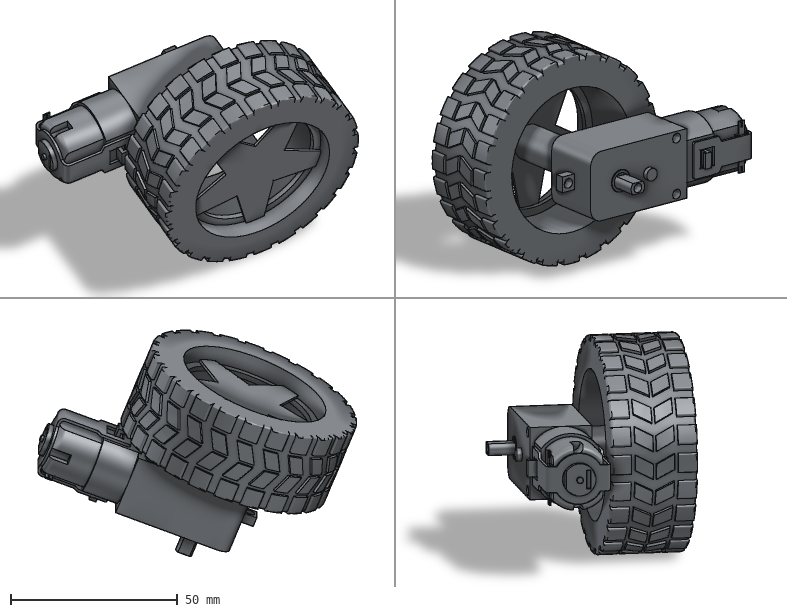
import cadquery as cq


joint_overlap = 0.9
rim_overlap = 0.4

gearbox_half_width = 9.4
gearbox_half_height = 11.05
gearbox_back = 11.5
gearbox_front = -25.2
gearbox_corner_radius = 4.15
mount_hole_diameter = 3.0
mount_hole_y = -21.3
mount_hole_z = 8.9
tab_size = (3.0, 4.5, 5.0)
tab_hole_y = 13.7
pin_radius = 2.0
pin_height = 1.55
pin_y = -10.7
shaft_boss_radius = 3.5
shaft_boss_height = 0.2
shaft_boss_chamfer = 0.13

axle_left = -17.7
axle_radius = 2.6
axle_flat_height = 3.6
axle_bore_diameter = 2.85
axle_collar_length = 0.3

wheel_left = 14.25
wheel_width = 26.1
wheel_right = wheel_left + wheel_width
wheel_middle = wheel_left + wheel_width / 2
tread_radius = 33.0
tread_depth = 0.9
tread_edge_fillet = 0.5
tire_radius = tread_radius - tread_depth
tire_edge_fillet = 1.0
rim_radius = 22.9
flange_radius = 20.4
flange_depth = 19.0
flange_thickness = 1.6
flange_left = wheel_left + flange_depth
flange_right = flange_left + flange_thickness
spoke_count = 5
spoke_thickness = 0.9
spoke_right = flange_right + spoke_thickness
spoke_root_width = 16.1
spoke_tip_width = 5.9
hub_left = 10.4
hub_radius = 5.6

blocks_around = 24
edge_block_size = 5.9
chevron_width = 5.5
chevron_height = 4.75
chevron_drop = 2.9
chevron_gap = 0.95

motor_x = 0.7
neck_radius = 11.05
neck_half_width = 8.8
neck_front = -36.5
motor_radius = 10.1
motor_half_width = 7.5
motor_front = -50.1
motor_edge_fillet = 2.0
slot_back = -44.1
slot_floor_z = 7.3
slot_left = -1.4
slot_floor_right = 1.2
slot_mouth_right = 1.7
slot_floor_fillet = 2.5
clip_thickness = 0.9
clip_front = motor_front - clip_thickness
clip_half_width = 9.9
clip_half_height = 4.0
clip_bend_radius = 1.9
clip_disc_radius = 7.8
clip_back = -28.15
clip_head_half_height = 5.9
clip_corner_radius = 0.6
clip_head_front = -37.65
clip_shoulder_front = -38.7
window_back = -30.5
window_front = -35.8
window_half_height = 3.0
hook_reach = 12.2
hook_half_height = 2.5
hook_lip_thickness = 1.1
hook_back = -30.75
hook_stem_back = -31.8
hook_front = -33.0
cap_radius = 4.9
cap_height = 1.55
cap_flat_x = -4.1
cap_slot_x = 2.8
cap_slot_size = (1.2, 5.6)
cap_slot_depth = 1.0
motor_shaft_radius = 0.95
motor_shaft_front = -53.4

terminal_outer_x = -8.55
terminal_thickness = 0.4
terminal_back = -46.4
terminal_front = -48.5
terminal_half_height = 8.2
terminal_hole_width = 0.6
terminal_hole_bottom = 6.3
terminal_hole_top = 7.7
terminal_base_back = -45.5
terminal_base_front = -49.75


def block(x_range, y_range, z_range):
    """Box between the given pairs of coordinates."""
    (x0, x1), (y0, y1), (z0, z1) = x_range, y_range, z_range
    return cq.Workplane("XY").box(x1 - x0, y1 - y0, z1 - z0, centered=False).translate((x0, y0, z0))


def rod_x(radius, x0, x1, y=0.0, z=0.0):
    """Cylinder along X."""
    return cq.Workplane("YZ", origin=(x0, y, z)).circle(radius).extrude(x1 - x0)


def rod_y(radius, y_back, y_front):
    """Cylinder along Y on the motor axis, running forward to -Y."""
    return cq.Workplane("XZ", origin=(motor_x, y_back, 0)).circle(radius).extrude(y_back - y_front)


def flat_sided(radius, half_width, y_back, y_front):
    """Cylinder on the motor axis with a flat on its left and its right side."""
    sides = (motor_x - half_width, motor_x + half_width)
    return rod_y(radius, y_back, y_front).intersect(block(sides, (y_front, y_back), (-radius, radius)))


def make_gearbox():
    body = block(
        (-gearbox_half_width, gearbox_half_width),
        (gearbox_front, gearbox_back),
        (-gearbox_half_height, gearbox_half_height),
    )
    body = body.edges("|X and >Y").fillet(gearbox_corner_radius)
    tab_width, tab_length, tab_height = tab_size
    tab = block(
        (-tab_width / 2, tab_width / 2),
        (gearbox_back - joint_overlap, gearbox_back + tab_length),
        (-tab_height / 2, tab_height / 2),
    )
    body = body.union(tab)
    holes = [(mount_hole_y, mount_hole_z), (mount_hole_y, -mount_hole_z), (tab_hole_y, 0)]
    for y, z in holes:
        body = body.cut(
            rod_x(mount_hole_diameter / 2, -gearbox_half_width, gearbox_half_width, y, z)
        )
    pin = rod_x(pin_radius, -gearbox_half_width - pin_height, 0, pin_y)
    boss = rod_x(shaft_boss_radius, -gearbox_half_width - shaft_boss_height, 0)
    return body.union(pin).union(boss.faces("<X").chamfer(shaft_boss_chamfer))


def make_axle():
    """Double-flatted axle through the gearbox into the hub, left round where it leaves the gearbox."""
    length = (axle_left, flange_left)
    flats = block(
        length, (-axle_radius, axle_radius), (-axle_flat_height / 2, axle_flat_height / 2)
    )
    collar = rod_x(axle_radius, -gearbox_half_width - axle_collar_length, 0)
    return rod_x(axle_radius, *length).intersect(flats).union(collar)


def ring_x(inner_radius, outer_radius, x0, x1):
    """Ring around the axle."""
    return rod_x(outer_radius, x0, x1).cut(rod_x(inner_radius, x0, x1))


def make_spokes():
    """Tapering spokes, the first one pointing to -Z."""
    reach = rim_radius + rim_overlap
    spoke = (
        cq.Workplane("YZ", origin=(flange_right, 0, 0))
        .polyline([
            (-spoke_root_width / 2, 0),
            (-spoke_tip_width / 2, -reach),
            (spoke_tip_width / 2, -reach),
            (spoke_root_width / 2, 0),
        ])
        .close()
        .extrude(spoke_thickness)
    )
    spokes = spoke
    for i in range(1, spoke_count):
        spokes = spokes.union(spoke.rotate((0, 0, 0), (1, 0, 0), i * 360 / spoke_count))
    return spokes


def make_tread_blocks():
    """Two rows of square edge blocks with two rows of slanted chevron blocks between them."""
    ring = ring_x(tire_radius - tire_edge_fillet, tread_radius, wheel_left, wheel_right)
    half = edge_block_size / 2
    inner_edge = wheel_middle - chevron_gap / 2
    outer_edge = inner_edge - chevron_width
    edge_outline = [
        (wheel_left, -half),
        (wheel_left, half),
        (wheel_left + edge_block_size, half),
        (wheel_left + edge_block_size, -half),
    ]
    chevron_outline = [
        (inner_edge, 0),
        (outer_edge, chevron_drop),
        (outer_edge, chevron_drop - chevron_height),
        (inner_edge, -chevron_height),
    ]
    edge_block, chevron_block = [
        ring.intersect(cq.Workplane("XZ").polyline(outline).close().extrude(tread_radius))
        for outline in (edge_outline, chevron_outline)
    ]
    edge_block = edge_block.faces("<Y").edges("<X or |X").fillet(tread_edge_fillet)
    pattern = []
    for left_block in (edge_block, chevron_block):
        right_block = left_block.mirror("YZ", (wheel_middle, 0, 0))
        pattern += [left_block.val(), right_block.val()]
    return [
        piece.rotate(cq.Vector(0, 0, 0), cq.Vector(1, 0, 0), i * 360 / blocks_around)
        for i in range(blocks_around)
        for piece in pattern
    ]


def make_wheel():
    tire = rod_x(tire_radius, wheel_left, wheel_right).edges().fillet(tire_edge_fillet)
    tire = tire.cut(rod_x(rim_radius, wheel_left, wheel_right))
    flange = ring_x(flange_radius, rim_radius + rim_overlap, flange_left, flange_right)
    hub = rod_x(hub_radius, hub_left, spoke_right)
    wheel = tire.union(flange).union(make_spokes()).union(hub)
    return cq.Workplane(wheel.val().fuse(*make_tread_blocks()))


def make_motor():
    neck = flat_sided(neck_radius, neck_half_width, gearbox_front + joint_overlap, neck_front)
    can_back = neck_front + joint_overlap
    can = rod_y(motor_radius, can_back, motor_front).faces("<Y").edges().fillet(motor_edge_fillet)
    can = can.intersect(flat_sided(motor_radius, motor_half_width, can_back, motor_front))
    slot = (
        cq.Workplane("XZ", origin=(motor_x, slot_back, 0))
        .polyline([
            (slot_left, slot_floor_z),
            (slot_left, motor_radius),
            (slot_mouth_right, motor_radius),
            (slot_floor_right, slot_floor_z),
        ])
        .close()
        .extrude(slot_back - motor_front)
        .faces("<Z")
        .edges(">X")
        .fillet(slot_floor_fillet)
    )
    can = can.cut(slot).cut(slot.mirror("XY"))
    return neck.union(can)


def make_clip():
    """Bent strap from the neck round the front of the motor, with a holed disc for the bearing cap."""
    left = motor_x - clip_half_width
    right = motor_x + clip_half_width
    outer = block((left, right), (clip_front, clip_back), (-neck_radius, neck_radius))
    outer = outer.edges("|Z and <Y").fillet(clip_bend_radius)
    inner = block(
        (left + clip_thickness, right - clip_thickness),
        (motor_front, clip_back),
        (-neck_radius, neck_radius),
    )
    inner = inner.edges("|Z and <Y").fillet(clip_bend_radius - clip_thickness)
    side_outline = (
        cq.Workplane("YZ", origin=(left, 0, 0))
        .polyline([
            (clip_front, -clip_half_height),
            (clip_shoulder_front, -clip_half_height),
            (clip_head_front, -clip_head_half_height),
            (clip_back, -clip_head_half_height),
            (clip_back, clip_head_half_height),
            (clip_head_front, clip_head_half_height),
            (clip_shoulder_front, clip_half_height),
            (clip_front, clip_half_height),
        ])
        .close()
        .extrude(right - left)
        .edges("|X and (not <Y)")
        .fillet(clip_corner_radius)
    )
    window = block(
        (left, right), (window_front, window_back), (-window_half_height, window_half_height)
    )
    strap = outer.cut(inner).intersect(side_outline).cut(window)
    disc = rod_y(clip_disc_radius, motor_front, clip_front)
    return strap.union(disc).cut(rod_y(cap_radius, motor_front, clip_front))


def make_hooks():
    """Catches on both sides of the neck that reach through the clip windows."""
    heights = (-hook_half_height, hook_half_height)
    tip = motor_x - hook_reach
    stem = block((tip, motor_x - motor_half_width), (hook_front, hook_stem_back), heights)
    lip = block((tip, tip + hook_lip_thickness), (hook_front, hook_back), heights)
    hook = stem.union(lip)
    return hook.union(hook.mirror("YZ", (motor_x, 0, 0)))


def make_cap():
    """Bearing cap with a flat on its left side and a slot, and the end of the motor shaft."""
    cap_front = clip_front - cap_height
    cap = rod_y(cap_radius, motor_front, cap_front)
    cap = cap.intersect(block(
        (motor_x + cap_flat_x, motor_x + cap_radius),
        (cap_front, motor_front),
        (-cap_radius, cap_radius),
    ))
    slot = (
        cq.Workplane("XZ", origin=(motor_x + cap_slot_x, cap_front + cap_slot_depth, 0))
        .rect(*cap_slot_size)
        .extrude(cap_slot_depth)
    )
    return cap.cut(slot).union(rod_y(motor_shaft_radius, motor_front, motor_shaft_front))


def make_terminals():
    """Strip with a slot at each end, held off the motor by a base behind the clip."""
    outer_x = motor_x + terminal_outer_x
    inner_x = outer_x + terminal_thickness
    strip = block(
        (outer_x, inner_x),
        (terminal_front, terminal_back),
        (-terminal_half_height, terminal_half_height),
    )
    middle_y = (terminal_front + terminal_back) / 2
    hole = block(
        (outer_x, inner_x),
        (middle_y - terminal_hole_width / 2, middle_y + terminal_hole_width / 2),
        (terminal_hole_bottom, terminal_hole_top),
    )
    base = block(
        (outer_x, motor_x - motor_half_width + joint_overlap),
        (terminal_base_front, terminal_base_back),
        (-clip_half_height, clip_half_height),
    )
    return strip.cut(hole).cut(hole.mirror("XY")).union(base)


gearmotor = make_gearbox()
for part in (make_motor(), make_clip(), make_hooks(), make_cap(), make_terminals(), make_axle()):
    gearmotor = gearmotor.union(part)
axle_bore = rod_x(axle_bore_diameter / 2, axle_left, -gearbox_half_width)
result = gearmotor.cut(axle_bore).union(make_wheel())